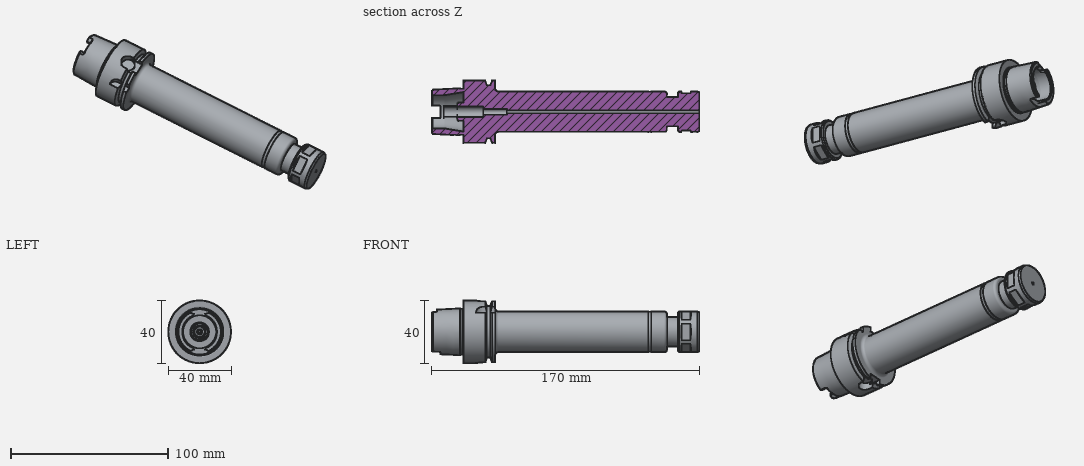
import cadquery as cq
import math


shank_length = 20.0
taper_gauge_radius = 15.15
taper_slope = 1 / 19.96
relief_length = 2.2
relief_radius = 14.7
relief_land = 0.9
shank_chamfer = 0.7

mouth_radius = 11.1
bore_radius = 10.5
mouth_chamfer = mouth_radius - bore_radius
bore_length = 8.0
recess_radius = 12.5
bore_bottom_x = 0.0
tube_radius = 4.0
tube_bore_radius = 6.5 / 2
tube_tip_depth = 7.6
tube_bore_depth = 25.0
feed_hole_radius = 3.5 / 2
feed_hole_depth = 15.0
tube_nut_radius = 6.0
tube_nut_height = 4.0
tube_nut_chamfer = 0.8
coolant_hole_radius = 1.7 / 2

upper_drive_slot_depth = 3.2
lower_drive_slot_depth = 5.4
drive_slot_half_width = 3.9
drive_slot_base_z = 8.0
drive_slot_flare_z = 11.2
drive_slot_flare_angle = 30.0
drive_slot_fillet = 0.8

undercut_depth = 0.2
undercut_radius = 16.1
flange_radius = 20.0
flange_length = 20.25
groove_start = 14.0
groove_end = 18.2
groove_floor_start = 15.0
groove_floor_end = 17.1
groove_radius = 17.1

pocket_radius = 4.4
pocket_x = 12.3
pocket_floor_z = 14.7
pocket_slot_floor_z = 16.3
notch_wall_y = -12.2
notch_floor_z = 12.0

body_radius = 13.0
body_fillet = 2.0
body_end = 129.5
body_end_rounding = 1.8
band_start = 117.4
band_end = 119.5
band_depth = 0.2

neck_radius = 19.0 / 2
nut_start = 136.4
nut_end = 150.0
nut_radius = 13.0
nut_rear_chamfer = 0.9
nut_front_chamfer_length = 1.3
nut_front_chamfer_depth = 0.6
nut_flat_count = 6
nut_flat_distance = 11.9
nut_flat_start = 138.9
nut_flat_end = 144.3
nut_flat_wall_run = 0.5


def taper_radius(x):
    return taper_gauge_radius + x * taper_slope


def make_turned_body():
    end_radius = taper_radius(-shank_length)
    profile = (
        cq.Workplane("XY")
        .moveTo(-shank_length, 0)
        .lineTo(-shank_length, end_radius - shank_chamfer)
        .lineTo(-shank_length + shank_chamfer, taper_radius(shank_chamfer - shank_length))
        .lineTo(-relief_length, taper_radius(-relief_length))
        .lineTo(-relief_length + relief_land / 2, relief_radius)
        .lineTo(-relief_land / 2, relief_radius)
        .lineTo(undercut_depth, taper_gauge_radius)
        .lineTo(0, undercut_radius)
        .lineTo(0, flange_radius)
        .lineTo(groove_start, flange_radius)
        .lineTo(groove_floor_start, groove_radius)
        .lineTo(groove_floor_end, groove_radius)
        .lineTo(groove_end, flange_radius)
        .lineTo(flange_length, flange_radius)
        .lineTo(flange_length, body_radius + body_fillet)
        .radiusArc((flange_length + body_fillet, body_radius), -body_fillet)
        .lineTo(band_start, body_radius)
        .lineTo(band_start, body_radius - band_depth)
        .lineTo(band_end, body_radius - band_depth)
        .lineTo(band_end, body_radius)
        .lineTo(body_end - body_end_rounding, body_radius)
        .radiusArc((body_end, body_radius - body_end_rounding), body_end_rounding)
        .lineTo(body_end, neck_radius)
        .lineTo(nut_start, neck_radius)
        .lineTo(nut_start, nut_radius - nut_rear_chamfer)
        .lineTo(nut_start + nut_rear_chamfer, nut_radius)
        .lineTo(nut_end - nut_front_chamfer_length, nut_radius)
        .lineTo(nut_end, nut_radius - nut_front_chamfer_depth)
        .lineTo(nut_end, 0)
        .close()
    )
    return profile.revolve(360, (0, 0, 0), (1, 0, 0))


def make_shank_bore():
    """Hollow of the shank: a straight lip, a recess that widens inwards, and the tube left standing."""
    mouth_x = -shank_length
    lip_x = mouth_x + bore_length
    nut_top_x = bore_bottom_x - tube_nut_height
    tip_x = mouth_x + tube_tip_depth
    tube_end_x = tip_x + tube_bore_depth
    profile = (
        cq.Workplane("XY")
        .moveTo(mouth_x, 0)
        .lineTo(mouth_x, mouth_radius)
        .lineTo(mouth_x + mouth_chamfer, bore_radius)
        .lineTo(lip_x, bore_radius)
        .lineTo(bore_bottom_x, recess_radius)
        .lineTo(bore_bottom_x, tube_nut_radius)
        .lineTo(nut_top_x + tube_nut_chamfer, tube_nut_radius)
        .lineTo(nut_top_x, tube_nut_radius - tube_nut_chamfer)
        .lineTo(nut_top_x, tube_radius)
        .lineTo(tip_x, tube_radius)
        .lineTo(tip_x, tube_bore_radius)
        .lineTo(tube_end_x, tube_bore_radius)
        .lineTo(tube_end_x, feed_hole_radius)
        .lineTo(tube_end_x + feed_hole_depth, feed_hole_radius)
        .lineTo(tube_end_x + feed_hole_depth, coolant_hole_radius)
        .lineTo(nut_end, coolant_hole_radius)
        .lineTo(nut_end, 0)
        .close()
    )
    return profile.revolve(360, (0, 0, 0), (1, 0, 0))


def make_drive_slot(depth):
    """Slot across the upper wall of the shank mouth, flared outwards."""
    top_z = taper_gauge_radius
    flare_y = (top_z - drive_slot_flare_z) / math.tan(math.radians(drive_slot_flare_angle))
    outer_y = drive_slot_half_width + flare_y
    return (
        cq.Workplane("YZ", origin=(-shank_length, 0, 0))
        .polyline([
            (-drive_slot_half_width, drive_slot_base_z),
            (-drive_slot_half_width, drive_slot_flare_z),
            (-outer_y, top_z),
            (outer_y, top_z),
            (drive_slot_half_width, drive_slot_flare_z),
            (drive_slot_half_width, drive_slot_base_z),
        ])
        .close()
        .extrude(depth)
        .faces(">X")
        .edges("not |Y")
        .fillet(drive_slot_fillet)
    )


def make_flange_pocket():
    """Round pocket in the top of the flange with a shallower slot to its end."""
    height = flange_radius
    pocket = (
        cq.Workplane("XY", origin=(pocket_x, 0, pocket_floor_z))
        .circle(pocket_radius)
        .extrude(height)
    )
    slot = (
        cq.Workplane("XY", origin=(pocket_x, -pocket_radius, pocket_slot_floor_z))
        .rect(flange_length - pocket_x, 2 * pocket_radius, centered=False)
        .extrude(height)
    )
    return pocket.union(slot)


def make_edge_notch():
    """Notch at 45 degrees round the flange, with a rounded inner end."""
    center_y = notch_wall_y - pocket_radius
    height = flange_radius
    end = (
        cq.Workplane("XY", origin=(pocket_x, center_y, notch_floor_z))
        .circle(pocket_radius)
        .extrude(height)
    )
    run = (
        cq.Workplane("XY", origin=(pocket_x, center_y - pocket_radius, notch_floor_z))
        .rect(flange_length - pocket_x, 2 * pocket_radius, centered=False)
        .extrude(height)
    )
    return end.union(run)


def make_nut_flat():
    """Cutter for one spanner flat on the -Y side, with sloping front and rear walls."""
    depth = nut_radius - nut_flat_distance
    return (
        cq.Workplane("XY", origin=(0, 0, -nut_radius))
        .polyline([
            (nut_flat_start, -nut_flat_distance),
            (nut_flat_end, -nut_flat_distance),
            (nut_flat_end + nut_flat_wall_run, -nut_flat_distance - depth),
            (nut_flat_start - nut_flat_wall_run, -nut_flat_distance - depth),
        ])
        .close()
        .extrude(2 * nut_radius)
    )


def half_turn(shape):
    return shape.rotate((0, 0, 0), (1, 0, 0), 180)


holder = make_turned_body().cut(make_shank_bore())
holder = holder.cut(make_drive_slot(upper_drive_slot_depth))
holder = holder.cut(half_turn(make_drive_slot(lower_drive_slot_depth)))

flange_pocket = make_flange_pocket()
holder = holder.cut(flange_pocket).cut(half_turn(flange_pocket))
holder = holder.cut(make_edge_notch())

nut_flat = make_nut_flat()
for i in range(nut_flat_count):
    holder = holder.cut(nut_flat.rotate((0, 0, 0), (1, 0, 0), i * 360 / nut_flat_count))

result = holder